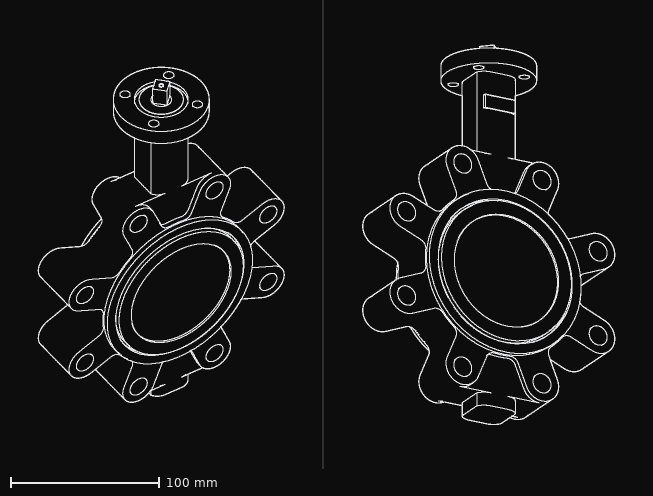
import cadquery as cq
import math


outer_span = 173.8
lug_thickness = 38.0
lug_count = 8
bolt_circle_radius = 80.0
bolt_hole_radius = 7.0
core_radius = 59.5
root_fillet = 6.0

face_radius = 58.7
face_to_face = 46.0
insert_radius = 50.2
insert_length = 49.0
groove_width = 1.5
groove_depth = 3.0
dish_radius = 40.3
dish_depth = 1.5

neck_width = 30.0
neck_bottom = -96.5
neck_corner_radius = 9.5
neck_side_flat = 13.4

plate_width = 23.0
plate_height = 9.5
plate_center_z = 124.7
plate_projection = 0.8

top_z = 170.5
flange_radius = 32.45
flange_thickness = 11.0
flange_top = 157.8
flange_hole_offset = 17.5
flange_hole_radius = 3.5
recess_radius = 18.2
recess_depth = 3.0

collar_radius = 15.0
collar_thickness = 0.3
shaft_radius = 7.0
square_side = 10.0
center_hole_radius = 1.5
center_hole_depth = 0.8

lug_pitch = 360 / lug_count
first_lug_angle = lug_pitch / 2
bolt_offset_long = bolt_circle_radius * math.cos(math.radians(first_lug_angle))
bolt_offset_short = bolt_circle_radius * math.sin(math.radians(first_lug_angle))
lug_radius = outer_span / 2 - bolt_offset_long
flange_bottom = flange_top - flange_thickness
recess_floor = flange_top - recess_depth
lug_angles = [first_lug_angle + index * lug_pitch for index in range(lug_count)]


def x_disc(radius, length):
    """Cylinder along X, centred on the origin."""
    return cq.Workplane("YZ").circle(radius).extrude(length / 2, both=True)


def z_disc(radius, bottom, top):
    """Cylinder along Z, centred on the stem axis."""
    return cq.Workplane("XY", origin=(0, 0, bottom)).circle(radius).extrude(top - bottom)


def lug(angle):
    """Round-ended arm that reaches from the pipe axis to a bolt hole."""
    arm = cq.Workplane("YZ").rect(bolt_circle_radius, 2 * lug_radius).extrude(lug_thickness / 2, both=True)
    arm = arm.translate((0, bolt_circle_radius / 2, 0))
    end = x_disc(lug_radius, lug_thickness).translate((0, bolt_circle_radius, 0))
    return arm.union(end).rotate((0, 0, 0), (1, 0, 0), angle)


def is_lug_root(edge):
    """True for an edge where the side of a lug meets the core."""
    center = edge.Center()
    return math.isclose(math.hypot(center.y, center.z), core_radius, abs_tol=0.03)


def lug_ring():
    ring = x_disc(core_radius, lug_thickness)
    for angle in lug_angles:
        ring = ring.union(lug(angle))
    roots = [edge for edge in ring.edges("|X").vals() if is_lug_root(edge)]
    return ring.newObject(roots).fillet(root_fillet)


def bolt_holes():
    points = [
        (
            bolt_circle_radius * math.cos(math.radians(angle)),
            bolt_circle_radius * math.sin(math.radians(angle)),
        )
        for angle in lug_angles
    ]
    return cq.Workplane("YZ").pushPoints(points).circle(bolt_hole_radius).extrude(lug_thickness / 2, both=True)


def neck():
    """Square column whose rounded corners run tangent into the X sides and meet the Y sides at an edge."""
    half = neck_width / 2
    flat = neck_side_flat / 2
    arc_center_x = half - neck_corner_radius
    sweep = math.asin((half - flat) / neck_corner_radius)
    end_x = arc_center_x + neck_corner_radius * math.cos(sweep)
    mid_x = arc_center_x + neck_corner_radius * math.cos(sweep / 2)
    mid_y = flat + neck_corner_radius * math.sin(sweep / 2)
    outline = (
        cq.Workplane("XY", origin=(0, 0, neck_bottom))
        .moveTo(half, -flat)
        .lineTo(half, flat)
        .threePointArc((mid_x, mid_y), (end_x, half))
        .lineTo(-end_x, half)
        .threePointArc((-mid_x, mid_y), (-half, flat))
        .lineTo(-half, -flat)
        .threePointArc((-mid_x, -mid_y), (-end_x, -half))
        .lineTo(end_x, -half)
        .threePointArc((mid_x, -mid_y), (half, -flat))
        .close()
    )
    return outline.extrude(flange_bottom - neck_bottom)


def web():
    """Wall as thick as the neck that joins the upper pair of lugs and the lower pair."""
    return cq.Workplane("XY").box(neck_width, 2 * bolt_offset_short, outer_span)


def name_plate():
    length = neck_width / 2 + plate_projection
    plate = cq.Workplane("XY").box(length, plate_width, plate_height)
    return plate.translate((-length / 2, 0, plate_center_z))


def actuator_flange():
    flange = z_disc(flange_radius, flange_bottom, flange_top)
    holes = (
        cq.Workplane("XY", origin=(0, 0, flange_bottom))
        .rect(2 * flange_hole_offset, 2 * flange_hole_offset, forConstruction=True)
        .vertices()
        .circle(flange_hole_radius)
        .extrude(flange_thickness)
    )
    return flange.cut(holes)


def make_housing():
    body = lug_ring().union(x_disc(face_radius, face_to_face))
    body = body.union(web()).union(neck()).union(name_plate()).union(actuator_flange())
    body = body.cut(bolt_holes())
    body = body.cut(x_disc(insert_radius, face_to_face))
    groove = x_disc(insert_radius + groove_width, face_to_face)
    groove = groove.cut(x_disc(insert_radius + groove_width, face_to_face - 2 * groove_depth))
    body = body.cut(groove)
    body = body.cut(z_disc(recess_radius, recess_floor, flange_top))
    return body.cut(z_disc(shaft_radius, flange_bottom, recess_floor))


def make_insert():
    """Liner and closed disc as one plug, with a shallow dish in each end."""
    plug = x_disc(insert_radius, insert_length)
    dishes = x_disc(dish_radius, insert_length).cut(x_disc(dish_radius, insert_length - 2 * dish_depth))
    return plug.cut(dishes)


def make_stem():
    """Round shaft with a thin collar level with the flange top and a square drive end above it."""
    shaft = z_disc(shaft_radius, flange_bottom, flange_top - collar_thickness)
    collar = z_disc(collar_radius, flange_top - collar_thickness, flange_top)
    square = (
        cq.Workplane("XY", origin=(0, 0, flange_top))
        .rect(square_side, square_side)
        .extrude(top_z - flange_top)
        .rotate((0, 0, 0), (0, 0, 1), 45)
    )
    return shaft.union(collar).union(square).cut(z_disc(center_hole_radius, top_z - center_hole_depth, top_z))


housing = make_housing()
insert = make_insert()
stem = make_stem()

result = cq.Compound.makeCompound([housing.val(), insert.val(), stem.val()])